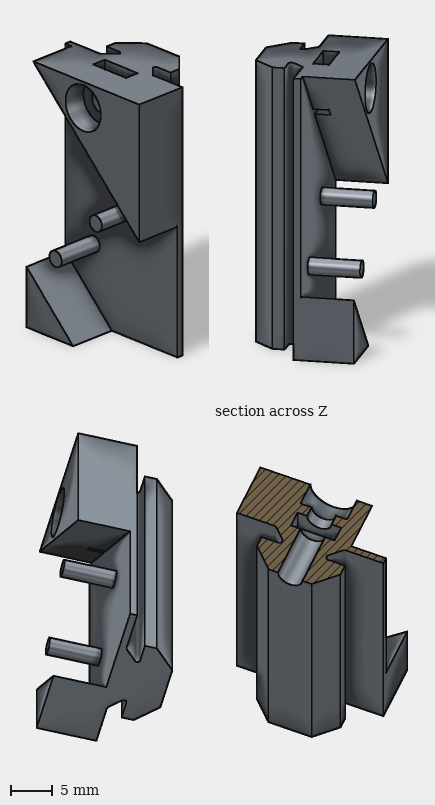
import cadquery as cq

width = 19.0
depth = 13.5
height = 35.0
half_width = width / 2

rail_rear_half_width = 2.8
rail_half_width = 5.42
rail_chamfer_depth = rail_half_width - rail_rear_half_width
rail_underside_depth = 4.1
neck_base_half_width = 4.45
groove_tip_radius = 0.332
neck_base_radius = 0.42

plate_rear_depth = 6.12
plate_front_depth = 7.0

neck_half_width = neck_base_half_width - (plate_rear_depth - rail_underside_depth)

upper_block_depth = 13.4
upper_block_leg = 17.95
lower_block_leg = 7.9

slot_width = 5.6
slot_thickness = 1.95
slot_depth = 6.48

hole_z = 31.57
hole_diameter = 3.1
counterbore_diameter = 6.0
counterbore_depth = 3.0

pin_diameter = 2.1
pin_centers = [(2.15, 17.15), (-4.7, 10.4)]


def front_plane(y_depth):
    """Plane facing -Y at the given depth; its local axes are X and Z."""
    return cq.Workplane("XZ", origin=(0, -y_depth, 0))


def make_rail_and_plate():
    right_half = (
        cq.Workplane("XY")
        .lineTo(rail_rear_half_width, 0)
        .lineTo(rail_half_width, -rail_chamfer_depth)
        .lineTo(rail_half_width, -rail_underside_depth)
        .lineTo(neck_half_width, -rail_underside_depth)
        .lineTo(neck_base_half_width, -plate_rear_depth)
        .lineTo(half_width, -plate_rear_depth)
        .lineTo(half_width, -plate_front_depth)
        .lineTo(0, -plate_front_depth)
        .close()
        .extrude(height)
    )
    for corner_x, corner_depth, radius in (
        (neck_half_width, rail_underside_depth, groove_tip_radius),
        (neck_base_half_width, plate_rear_depth, neck_base_radius),
    ):
        corner = cq.selectors.NearestToPointSelector((corner_x, -corner_depth, height / 2))
        right_half = right_half.edges("|Z").edges(corner).fillet(radius)
    return right_half.union(right_half.mirror("YZ")).clean()


def make_corner_block(corner_x, corner_z, leg_x, leg_z, front_depth):
    """Right triangular block from the plate's rear face to front_depth."""
    outline = [(corner_x, corner_z), (corner_x + leg_x, corner_z), (corner_x, corner_z + leg_z)]
    return front_plane(plate_rear_depth).polyline(outline).close().extrude(front_depth - plate_rear_depth)


def make_pins():
    return front_plane(plate_front_depth).pushPoints(pin_centers).circle(pin_diameter / 2).extrude(
        upper_block_depth - plate_front_depth
    )


def make_slot():
    return cq.Workplane("XY").box(slot_width, slot_thickness, slot_depth, centered=(True, False, False)).translate(
        (0, -plate_front_depth - slot_thickness, height - slot_depth)
    )


def make_mounting_hole():
    bore = front_plane(0).center(0, hole_z).circle(hole_diameter / 2).extrude(depth)
    counterbore = (
        front_plane(upper_block_depth - counterbore_depth)
        .center(0, hole_z)
        .circle(counterbore_diameter / 2)
        .extrude(counterbore_depth)
    )
    return bore.union(counterbore)


upper_block = make_corner_block(half_width, height, -upper_block_leg, -upper_block_leg, upper_block_depth)
lower_block = make_corner_block(-half_width, 0, lower_block_leg, lower_block_leg, depth)

result = (
    make_rail_and_plate()
    .union(upper_block)
    .union(lower_block)
    .cut(make_slot())
    .cut(make_mounting_hole())
    .union(make_pins())
)